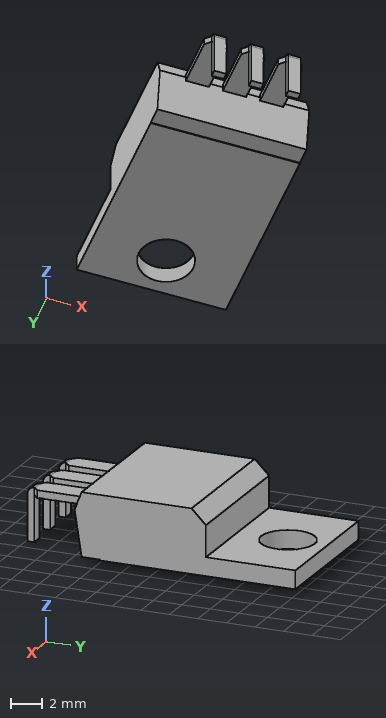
import cadquery as cq

total_length = 19.74
total_height = 4.75
package_width = 10.25

tab_bottom = 0.25
tab_thickness = 1.3
tab_length = 13.75
hole_diameter = 3.73
hole_to_tab_end = 2.75

body_bottom = 0.32
exposed_tab_length = 6.28
back_chamfer = 1.0
nose_y = 4.25
nose_drop = 1.26
nose_depth = 0.5
body_back_y = total_length - exposed_tab_length
body_front_y = nose_y + nose_depth
nose_z = total_height - nose_drop

lead_count = 3
lead_pitch = 2.55
lead_width = 1.6
lead_tip_width = 0.85
lead_thickness = 0.53
lead_leg_depth = 0.5
bend_radius = 0.5
lead_drop = 1.0
taper_length = (lead_width - lead_tip_width) / 2
taper_end_y = lead_leg_depth
taper_start_y = taper_end_y + taper_length
lead_top = total_height - lead_drop
lead_root_y = body_front_y


def make_tab():
    """Flat plate with a mounting hole, lying partly under the body."""
    plate = cq.Workplane("XY").box(
        package_width, tab_length, tab_thickness, centered=(True, False, False)
    ).translate((0, total_length - tab_length, tab_bottom))
    hole = (
        cq.Workplane("XY", origin=(0, total_length - hole_to_tab_end, tab_bottom))
        .circle(hole_diameter / 2)
        .extrude(tab_thickness)
    )
    return plate.cut(hole)


def make_body():
    """Side profile with a chamfered back and a pointed front, extruded across the package."""
    return (
        cq.Workplane("YZ")
        .moveTo(body_front_y, body_bottom)
        .lineTo(body_back_y, body_bottom)
        .lineTo(body_back_y, total_height - back_chamfer)
        .lineTo(body_back_y - back_chamfer, total_height)
        .lineTo(body_front_y, total_height)
        .lineTo(nose_y, nose_z)
        .close()
        .extrude(package_width / 2, both=True)
    )


def make_lead(center_x):
    """L-shaped lead, narrowed before the rounded bend to the downward leg."""
    side_profile = (
        cq.Workplane("YZ")
        .moveTo(0, 0)
        .lineTo(lead_leg_depth, 0)
        .lineTo(lead_leg_depth, lead_top - lead_thickness)
        .lineTo(lead_root_y, lead_top - lead_thickness)
        .lineTo(lead_root_y, lead_top)
        .lineTo(bend_radius, lead_top)
        .radiusArc((0, lead_top - bend_radius), -bend_radius)
        .close()
        .extrude(lead_width / 2, both=True)
    )
    half_width = lead_width / 2
    half_tip = lead_tip_width / 2
    plan_outline = (
        cq.Workplane("XY")
        .polyline([
            (-half_tip, 0),
            (half_tip, 0),
            (half_tip, taper_end_y),
            (half_width, taper_start_y),
            (half_width, lead_root_y),
            (-half_width, lead_root_y),
            (-half_width, taper_start_y),
            (-half_tip, taper_end_y),
        ])
        .close()
        .extrude(lead_top)
    )
    return side_profile.intersect(plan_outline).translate((center_x, 0, 0))


result = make_tab().union(make_body())
for index in range(lead_count):
    result = result.union(make_lead((index - (lead_count - 1) / 2) * lead_pitch))